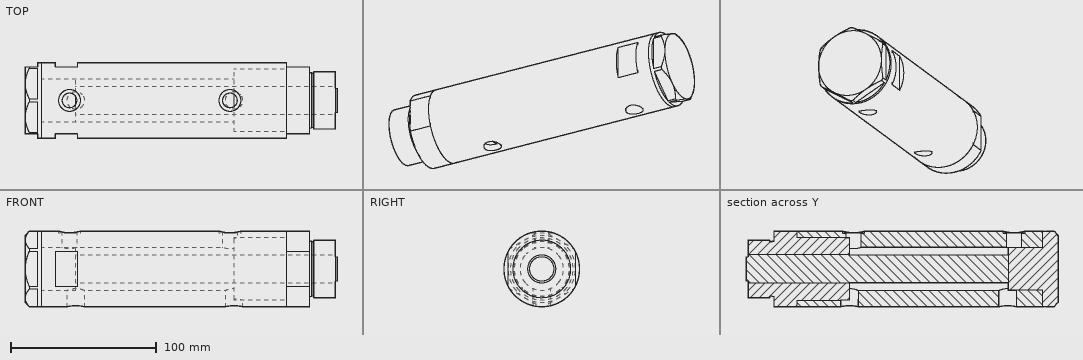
import cadquery as cq
import math


total_length = 214.5
body_diameter = 52.0
across_flats = 46.0

flange_start = 8.5
barrel_start = 11.1
cap_spigot_end = 34.5
gland_spigot_start = 143.5
barrel_end = 179.7
gland_collar_end = 195.3
neck_end = 196.5
relief_start = 197.0
relief_end = 197.9
nose_start = 198.3
nose_end = 213.1

bore_diameter = 29.5
gland_spigot_diameter = 42.9
neck_diameter = 38.2
relief_diameter = 37.5
nose_diameter = 39.7
rod_diameter = 19.3
rod_tip_diameter = 16.7

hex_sides = 6
hex_chamfer_length = 2.8

barrel_flat_start = 20.8
barrel_flat_length = 15.0

top_port_positions = (30.5, 140.6)
top_port_diameter = 10.0
spotface_diameter = 15.0
spotface_height = 24.7
bottom_port_positions = (34.7, 143.5)
bottom_port_diameter = 12.0


def rod_section(start, end, diameter):
    """Solid cylinder along X between two stations."""
    return cq.Workplane("YZ", origin=(start, 0, 0)).circle(diameter / 2).extrude(end - start)


def wrench_flats(start, length):
    """Material outside two flats that face -Y and +Y."""
    outside = cq.Workplane("XY").box(length, 2 * body_diameter, 2 * body_diameter)
    between = cq.Workplane("XY").box(length, across_flats, 2 * body_diameter)
    return outside.cut(between).translate((start + length / 2, 0, 0))


def vertical_port(x, diameter, start_height, end_height):
    """Cylinder along Z that cuts a port or a spotface."""
    port = cq.Workplane("XY", origin=(x, 0, start_height)).circle(diameter / 2)
    return port.extrude(end_height - start_height)


def make_cap():
    """Hexagon head with a round flange and a spigot that fits the bore."""
    corner_radius = across_flats / 2 / math.cos(math.pi / hex_sides)
    corner_angles = [2 * math.pi * i / hex_sides for i in range(hex_sides)]
    corners = [
        (corner_radius * math.sin(angle), corner_radius * math.cos(angle)) for angle in corner_angles
    ]
    hexagon = cq.Workplane("YZ").polyline(corners).close().extrude(flange_start)
    envelope = (
        cq.Workplane("XY")
        .moveTo(0, 0)
        .lineTo(0, across_flats / 2)
        .lineTo(hex_chamfer_length, body_diameter / 2)
        .lineTo(flange_start, body_diameter / 2)
        .lineTo(flange_start, 0)
        .close()
        .revolve(360, (0, 0, 0), (1, 0, 0))
    )
    flange = rod_section(flange_start, barrel_start, body_diameter)
    spigot = rod_section(barrel_start, cap_spigot_end, bore_diameter)
    return hexagon.intersect(envelope).union(flange).union(spigot)


def make_barrel():
    """Tube with a gland counterbore, wrench flats, spotfaced top ports and plain bottom ports."""
    barrel = rod_section(barrel_start, barrel_end, body_diameter)
    barrel = barrel.cut(rod_section(barrel_start, gland_spigot_start, bore_diameter))
    barrel = barrel.cut(rod_section(gland_spigot_start, barrel_end, gland_spigot_diameter))
    barrel = barrel.cut(wrench_flats(barrel_flat_start, barrel_flat_length))
    for x in top_port_positions:
        barrel = barrel.cut(vertical_port(x, top_port_diameter, 0, body_diameter))
        barrel = barrel.cut(vertical_port(x, spotface_diameter, spotface_height, body_diameter))
    for x in bottom_port_positions:
        barrel = barrel.cut(vertical_port(x, bottom_port_diameter, -body_diameter, 0))
    return barrel


def make_gland():
    """Rod guide: barrel spigot, flatted collar, grooved neck and round nose."""
    turned = (
        cq.Workplane("XY")
        .moveTo(gland_spigot_start, rod_diameter / 2)
        .lineTo(gland_spigot_start, gland_spigot_diameter / 2)
        .lineTo(barrel_end, gland_spigot_diameter / 2)
        .lineTo(barrel_end, body_diameter / 2)
        .lineTo(gland_collar_end, body_diameter / 2)
        .lineTo(gland_collar_end, neck_diameter / 2)
        .lineTo(neck_end, neck_diameter / 2)
        .lineTo(relief_start, relief_diameter / 2)
        .lineTo(relief_end, relief_diameter / 2)
        .lineTo(nose_start, nose_diameter / 2)
        .lineTo(nose_end, nose_diameter / 2)
        .lineTo(nose_end, rod_diameter / 2)
        .close()
        .revolve(360, (0, 0, 0), (1, 0, 0))
    )
    return turned.cut(wrench_flats(barrel_end, gland_collar_end - barrel_end))


def make_rod():
    """Rod from the cap spigot through the gland, with a reduced tip."""
    shaft = rod_section(cap_spigot_end, nose_end, rod_diameter)
    tip = rod_section(nose_end, total_length, rod_tip_diameter)
    return shaft.union(tip)


cap = make_cap()
barrel = make_barrel()
gland = make_gland()
rod = make_rod()

result = cq.Compound.makeCompound([cap.val(), barrel.val(), gland.val(), rod.val()])